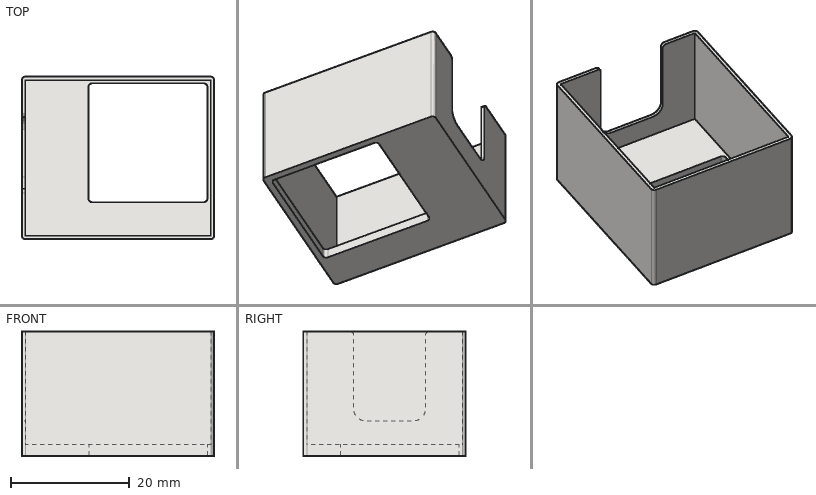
import cadquery as cq

length = 32.4
width = 27.4
height = 21.0
wall = 0.6
floor_thickness = 2.0
corner_radius = 0.6

window_side = 20.0
window_margin = 0.55
window_corner_radius = 0.6

notch_width = 12.1
notch_center_y = 0.8
notch_bottom = 6.0
notch_corner_radius = 2.0
notch_lip_radius = 0.6


def open_box():
    """Rounded outer block with a sharp-cornered cavity open at the top."""
    block = cq.Workplane("XY").box(length, width, height, centered=(True, True, False))
    block = block.edges("|Z").fillet(corner_radius)
    cavity = (
        cq.Workplane("XY")
        .workplane(offset=floor_thickness)
        .rect(length - 2 * wall, width - 2 * wall)
        .extrude(height - floor_thickness)
    )
    return block.cut(cavity)


def floor_window():
    """Cutter for the square window with rounded corners."""
    inset = wall + window_margin + window_side / 2
    return (
        cq.Workplane("XY")
        .center(length / 2 - inset, width / 2 - inset)
        .rect(window_side, window_side)
        .extrude(floor_thickness)
        .edges("|Z")
        .fillet(window_corner_radius)
    )


def wall_notch():
    """Cutter for the notch, flaring out at the rim to round both lips."""
    half_width = notch_width / 2
    half_flare = half_width + notch_lip_radius
    lip_z = height - notch_lip_radius
    corner_z = notch_bottom + notch_corner_radius
    half_flat = half_width - notch_corner_radius
    return (
        cq.Workplane("YZ", origin=(-length / 2, notch_center_y, 0))
        .moveTo(-half_flare, height)
        .radiusArc((-half_width, lip_z), notch_lip_radius)
        .lineTo(-half_width, corner_z)
        .radiusArc((-half_flat, notch_bottom), -notch_corner_radius)
        .lineTo(half_flat, notch_bottom)
        .radiusArc((half_width, corner_z), -notch_corner_radius)
        .lineTo(half_width, lip_z)
        .radiusArc((half_flare, height), notch_lip_radius)
        .close()
        .extrude(wall)
    )


result = open_box().cut(floor_window()).cut(wall_notch())